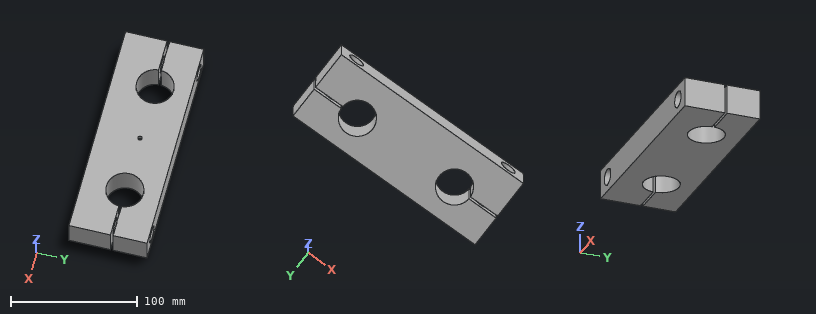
import cadquery as cq

length = 180.0
width = 64.0
height = 25.0

bore_diameter = 30.0
bore_spacing = 96.0
bore_offset_y = 3.0
slit_width = 2.0

bolt_hole_diameter = 13.5
bolt_hole_spacing = 150.0

mark_diameter = 3.5
pilot_diameter = 1.5
mark_depth = 1.0
pilot_depth = 2.2

bore_x = bore_spacing / 2
bolt_hole_x = bolt_hole_spacing / 2
top_z = height / 2


def clamp_bore(side):
    """Bore and slit cutter; side is -1 for the left end, +1 for the right."""
    bore = (
        cq.Workplane("XY")
        .center(side * bore_x, bore_offset_y)
        .circle(bore_diameter / 2)
        .extrude(height / 2, both=True)
    )
    slit_length = length / 2 - bore_x
    slit_centre_x = side * (bore_x + slit_length / 2)
    slit = (
        cq.Workplane("XY")
        .box(slit_length, slit_width, height)
        .translate((slit_centre_x, bore_offset_y, 0))
    )
    return bore.union(slit)


def bolt_hole(side):
    """Through-hole cutter crossing the slit on the given side."""
    return (
        cq.Workplane("XZ")
        .center(side * bolt_hole_x, 0)
        .circle(bolt_hole_diameter / 2)
        .extrude(width / 2, both=True)
    )


def centre_mark():
    """Conical countersink cutter with a small flat-bottomed pilot hole below it."""
    return (
        cq.Workplane("XZ")
        .moveTo(0, top_z)
        .lineTo(mark_diameter / 2, top_z)
        .lineTo(pilot_diameter / 2, top_z - mark_depth)
        .lineTo(pilot_diameter / 2, top_z - pilot_depth)
        .lineTo(0, top_z - pilot_depth)
        .close()
        .revolve(360, (0, 0, 0), (0, 1, 0))
        .translate((0, bore_offset_y, 0))
    )


result = cq.Workplane("XY").box(length, width, height)
for end in (-1, 1):
    result = result.cut(clamp_bore(end)).cut(bolt_hole(end))
result = result.cut(centre_mark())